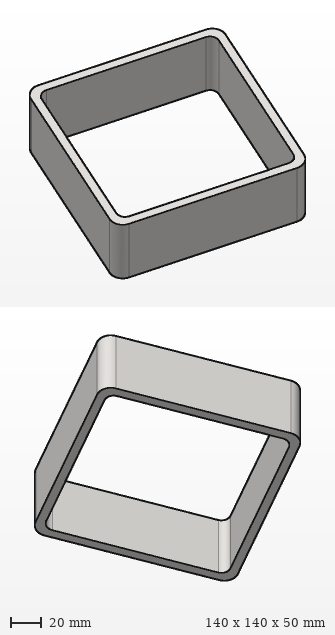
import cadquery as cq

side = 140.0
height = 50.0
wall = 6.3
outer_corner_radius = 9.5
inner_corner_radius = 6.3


def rounded_square_block(width, corner_radius):
    """Square block of the tube height with rounded vertical edges."""
    block = cq.Workplane("XY").rect(width, width).extrude(height)
    return block.edges("|Z").fillet(corner_radius)


outer_block = rounded_square_block(side, outer_corner_radius)
opening = rounded_square_block(side - 2 * wall, inner_corner_radius)

result = outer_block.cut(opening)